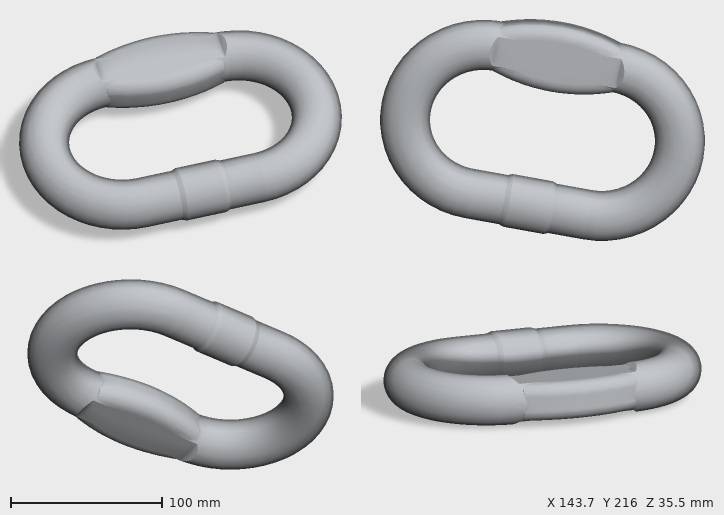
import cadquery as cq
import math

length = 216.0
bar_diameter = 33.0
bend_radius = 51.6
bar_radius = bar_diameter / 2
straight_length = length - 2 * bend_radius - bar_diameter
straight_end = straight_length / 2

sleeve_diameter = 35.5
sleeve_half_length = 13.5
cone_length = 3.2

plate_thickness = 26.0
plate_width = 45.4
plate_side_radius = 118.8
plate_edge_radius = 8.6

flat_half_length = 41.5
ramp_root_radius = 2.2


def make_link():
    """Sweep the bar as two straights and two half-torus bends."""
    link = None
    for side in (-1, 1):
        straight = (
            cq.Workplane("XZ", origin=(side * bend_radius, straight_end, 0))
            .circle(bar_radius)
            .extrude(straight_length)
        )
        bend = (
            cq.Workplane("XZ", origin=(0, side * straight_end, 0))
            .center(bend_radius, 0)
            .circle(bar_radius)
            .revolve(180, (-bend_radius, 0), (-bend_radius, side))
        )
        link = straight if link is None else link.union(straight)
        link = link.union(bend)
    return link


def make_sleeve():
    """Revolve the sleeve and its end cones about the straight's axis."""
    sleeve_radius = sleeve_diameter / 2
    cone_end = sleeve_half_length + cone_length
    return (
        cq.Workplane("XY", origin=(bend_radius, 0, 0))
        .moveTo(0, -cone_end)
        .lineTo(bar_radius, -cone_end)
        .lineTo(sleeve_radius, -sleeve_half_length)
        .lineTo(sleeve_radius, sleeve_half_length)
        .lineTo(bar_radius, cone_end)
        .lineTo(0, cone_end)
        .close()
        .revolve(360, (0, 0), (0, 1))
    )


def make_flat_cutter(side):
    """Trapezoidal cutter with rounded ramp roots for the upper or lower flat."""
    flat_height = plate_thickness / 2
    cut_depth = bar_diameter - flat_height
    top_half_length = flat_half_length + cut_depth
    cutter = (
        cq.Workplane("YZ", origin=(-bend_radius, 0, 0))
        .polyline([
            (-flat_half_length, side * flat_height),
            (flat_half_length, side * flat_height),
            (top_half_length, side * bar_diameter),
            (-top_half_length, side * bar_diameter),
        ])
        .close()
        .extrude(bar_radius, both=True)
    )
    root_face = "<Z" if side > 0 else ">Z"
    return cutter.faces(root_face).edges("|X").fillet(ramp_root_radius)


def make_plate():
    """Plate with two bowed sides and rounded long edges."""
    half_width = plate_width / 2
    side_bow = plate_side_radius - math.sqrt(plate_side_radius**2 - straight_end**2)
    end_half_width = half_width - side_bow
    plate = (
        cq.Workplane("XY", origin=(-bend_radius, 0, -plate_thickness / 2))
        .moveTo(-end_half_width, -straight_end)
        .lineTo(end_half_width, -straight_end)
        .threePointArc((half_width, 0), (end_half_width, straight_end))
        .lineTo(-end_half_width, straight_end)
        .threePointArc((-half_width, 0), (-end_half_width, -straight_end))
        .close()
        .extrude(plate_thickness)
    )
    return plate.edges("%CIRCLE").fillet(plate_edge_radius)


result = make_link().union(make_sleeve())
for side in (-1, 1):
    result = result.cut(make_flat_cutter(side))
result = result.union(make_plate())